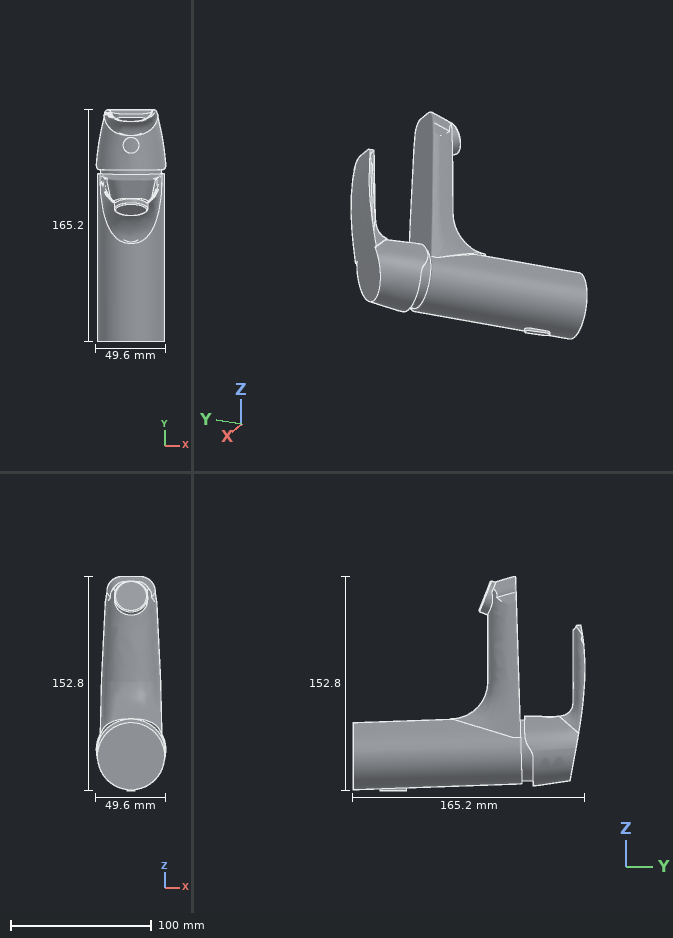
import cadquery as cq
import math

body_radius = 24.0
body_front_z = 24.6
body_rise = 0.035
rear_y = 120.6
rear_lean = 0.031
rear_edge_round = 1.2

pad_length = 19.0
pad_width = 5.6
pad_center_y = 28.6
pad_height = 3.3

spout_blank_z = 153.7
spout_front_y = 95.8
spout_bend_radius = 26.0
spout_bend_z = 77.3
spout_bend_rear_z = 79.3
spout_foot_rear_z = 36.4
spout_foot_half_width = 22.1
spout_bend_half_width = 21.1
spout_shoulder_z = 142.1
spout_shoulder_half_width = 17.8
spout_top_inset = 0.3
spout_crown_half_width = 7.5
spout_front_shoulder_half_width = 12.9
spout_front_shoulder_z = 135.5
spout_crown_base_z = 125.5
spout_crown_base_half_width = 19.8
spout_front_crown_half_width = 5.0
spout_front_top_z = 146.7
spout_tip_y = 101.8
spout_tip_z = 148.7

aerator_y = 93.7
aerator_z = 138.8
aerator_radius = 11.9
aerator_length = 10.7
aerator_chamfer = 0.8
aerator_tilt = math.radians(21.4)

neck_radius = 21.8
neck_z = 28.8
neck_end_y = 132.2
neck_embed = 5.0

overall_length = 165.2
hub_front_y = 122.3
hub_top_z = 53.2
hub_stations = [
    (hub_front_y, 25.1, 3.6),
    (132.2, 24.3, 3.8),
    (142.1, 23.0, 5.3),
    (154.7, 20.5, 7.1),
    (overall_length, 17.8, 9.1),
]
hub_skirt_y = 128.2
hub_step_start_z = 23.1
hub_step_points = [(125.4, 30.5), (hub_front_y, 41.3)]
lever_foot_limit_z = 82.6
lever_tip_front = (157.5, 115.2)
lever_tip_top_y = (159.5, 162.3)
handle_rear_points = [
    (164.5, 102.5),
    (overall_length, 85.1),
    (163.9, 63.5),
    (160.0, 36.2),
    (154.8, 8.3),
]
handle_rear_end_y = 153.0
lever_top_z = 118.0
lever_front_y = 156.6
lever_bend_radius = 9.9
lever_bend_z = 63.1
lever_bend_rear_z = 63.8
lever_foot_rear_z = 36.4
lever_foot_half_width = 19.8
lever_bend_half_width = 18.5
lever_shoulder_z = 108.2
lever_crown_base_half_width = 16.5
lever_crown_base_z = 99.1
lever_shoulder_half_width = 14.5
lever_crown_half_width = 8.3
marker_radius = 5.6
marker_y = 139.8
marker_depth = 0.2

section_fullness = 0.85
section_steps = 12
bend_steps = 4
cutter_half_width = 41.3
cut_margin = 1.7


def rear_face_y(z):
    """Y of the leaning rear face of the body and spout at height z."""
    return rear_y - rear_lean * z


def lever_rear_y(z):
    """The lever sections reach past the crowned rear face, which trims them."""
    return overall_length + cut_margin / 2


def side_slab(outline):
    """Extrude a closed (Y, Z) outline symmetrically about the YZ plane."""
    return outline.close().extrude(cutter_half_width, both=True)


def column_section(rear_point, front_point, half_width):
    """D-shaped wire, flat at the rear, lying between two (Y, Z) points."""
    dy = front_point[0] - rear_point[0]
    dz = front_point[1] - rear_point[1]
    depth = math.hypot(dy, dz)
    plane = cq.Plane(origin=(0, *rear_point), xDir=(1, 0, 0), normal=(0, -dz, dy))
    points = []
    for step in range(section_steps + 1):
        angle = math.pi * step / section_steps
        across = math.copysign(abs(math.cos(angle)) ** section_fullness, math.cos(angle))
        along = abs(math.sin(angle)) ** section_fullness
        points.append((half_width * across, depth * along))
    section = cq.Workplane(plane).moveTo(*points[0])
    section = section.spline(points[1:], tangents=[(0, 1), (0, -1)], includeCurrent=True)
    return section.close().wires().val()


def flared_column(rear_at, front_y, bend_radius, bend_z, rear_zs, half_widths, top_z):
    """Column with a flared foot; rear_zs and half_widths run from foot to bend to top."""
    foot_rear_z, bend_rear_z = rear_zs
    foot_width, bend_width, top_width = half_widths
    sections = []
    for step in range(bend_steps + 1):
        share = step / bend_steps
        angle = -math.pi / 2 * (1 - share)
        front = (
            front_y - bend_radius + bend_radius * math.cos(angle),
            bend_z + bend_radius * math.sin(angle),
        )
        rear_z = foot_rear_z + share * (bend_rear_z - foot_rear_z)
        width = foot_width + share * (bend_width - foot_width)
        sections.append(column_section((rear_at(rear_z), rear_z), front, width))
    top = column_section((rear_at(top_z), top_z), (front_y, top_z), top_width)
    foot = cq.Solid.makeLoft(sections)
    shaft = cq.Solid.makeLoft([sections[-1], top], True)
    return cq.Workplane(foot).union(cq.Workplane(shaft))


def crown_outline(y, base_half, base_z, shoulder_half, shoulder_z, crown_half, top_z):
    """XZ wire at the given Y, with arched shoulders leading to a flat crown."""
    width_45 = crown_half + (shoulder_half - crown_half) * math.sqrt(0.5)
    height_45 = shoulder_z + (top_z - shoulder_z) * math.sqrt(0.5)
    return (
        cq.Workplane("XZ", origin=(0, y, 0))
        .moveTo(-base_half, base_z)
        .lineTo(-shoulder_half, shoulder_z)
        .threePointArc((-width_45, height_45), (-crown_half, top_z))
        .lineTo(crown_half, top_z)
        .threePointArc((width_45, height_45), (shoulder_half, shoulder_z))
        .lineTo(base_half, base_z)
        .close()
        .wires()
        .val()
    )


def shape_crown(column, base_z, outlines):
    """Trim the column above base_z to the prism that joins the outlines."""
    crown = cq.Workplane(cq.Solid.makeLoft(outlines, True))
    above = cq.Workplane("XY", origin=(0, 0, base_z)).rect(
        2 * cutter_half_width, 4 * overall_length
    ).extrude(spout_blank_z)
    return column.cut(above.cut(crown))


def make_body():
    overrun = 5 * cut_margin
    axis = cq.Vector(0, 1, body_rise)
    plane = cq.Plane(
        origin=(0, -overrun, body_front_z - overrun * body_rise),
        xDir=(1, 0, 0),
        normal=axis.toTuple(),
    )
    rod = cq.Workplane(plane).circle(body_radius).extrude(rear_y + 2 * overrun)
    limits = side_slab(
        cq.Workplane("YZ").polyline(
            [
                (0, -overrun),
                (rear_face_y(-overrun), -overrun),
                (rear_face_y(spout_blank_z), spout_blank_z),
                (0, spout_blank_z),
            ]
        )
    )
    body = rod.intersect(limits)
    return body


def make_pad():
    return (
        cq.Workplane("XY", origin=(0, pad_center_y, 0))
        .slot2D(pad_length, pad_width, 90)
        .extrude(pad_height)
    )


def make_spout():
    top_half_width = spout_shoulder_half_width - spout_top_inset
    spout = flared_column(
        rear_face_y,
        spout_front_y,
        spout_bend_radius,
        spout_bend_z,
        (spout_foot_rear_z, spout_bend_rear_z),
        (spout_foot_half_width, spout_bend_half_width, top_half_width),
        spout_blank_z,
    )
    crown_rear_y = rear_face_y(spout_blank_z) + cut_margin
    rear_outline = crown_outline(
        crown_rear_y,
        spout_crown_base_half_width,
        spout_crown_base_z,
        spout_shoulder_half_width,
        spout_shoulder_z,
        spout_crown_half_width,
        spout_blank_z,
    )
    front_outline = crown_outline(
        spout_front_y - cut_margin,
        spout_crown_base_half_width,
        spout_crown_base_z,
        spout_front_shoulder_half_width,
        spout_front_shoulder_z,
        spout_front_crown_half_width,
        spout_front_top_z,
    )
    spout = shape_crown(spout, spout_crown_base_z, [rear_outline, front_outline])
    slope_end_y = spout_tip_y - spout_tip_z * math.tan(aerator_tilt)
    profile = (
        cq.Workplane("YZ")
        .moveTo(slope_end_y, 0)
        .lineTo(spout_tip_y, spout_tip_z)
        .lineTo(spout_tip_y, spout_blank_z)
        .lineTo(rear_y + cut_margin, spout_blank_z)
        .lineTo(rear_y + cut_margin, 0)
    )
    return spout.intersect(side_slab(profile))


def make_aerator():
    outward = cq.Vector(0, -math.cos(aerator_tilt), math.sin(aerator_tilt))
    face_center = cq.Vector(0, aerator_y, aerator_z)
    plane = cq.Plane(
        origin=(face_center - outward * aerator_length).toTuple(),
        xDir=(1, 0, 0),
        normal=outward.toTuple(),
    )
    disc = cq.Workplane(plane).circle(aerator_radius).extrude(aerator_length)
    return disc.faces("<Y").edges().chamfer(aerator_chamfer)


def make_neck():
    start_y = rear_y - neck_embed
    return (
        cq.Workplane("XZ", origin=(0, start_y, neck_z))
        .circle(neck_radius)
        .extrude(start_y - neck_end_y)
    )


def hub_section(y, half_width, bottom_z):
    half_height = (hub_top_z - bottom_z) / 2
    return (
        cq.Workplane("XZ", origin=(0, y, hub_top_z - half_height))
        .ellipse(half_width, half_height)
        .wires()
        .val()
    )


def make_hub():
    """Hub with an almost flat top, narrowing toward the rear."""
    return cq.Workplane(
        cq.Solid.makeLoft(
            [hub_section(*station) for station in hub_stations]
        )
    )


def make_handle():
    lever = flared_column(
        lever_rear_y,
        lever_front_y,
        lever_bend_radius,
        lever_bend_z,
        (lever_foot_rear_z, lever_bend_rear_z),
        (lever_foot_half_width, lever_bend_half_width, lever_shoulder_half_width),
        lever_top_z,
    )
    outlines = [
        crown_outline(
            y,
            lever_crown_base_half_width,
            lever_crown_base_z,
            lever_shoulder_half_width,
            lever_shoulder_z,
            lever_crown_half_width,
            lever_top_z,
        )
        for y in (overall_length + cut_margin, hub_front_y)
    ]
    lever = shape_crown(lever, lever_crown_base_z, outlines)
    profile = (
        cq.Workplane("YZ")
        .moveTo(hub_skirt_y, 0)
        .lineTo(hub_skirt_y, hub_step_start_z)
        .spline(hub_step_points, tangents=[(0, 1), (0, 1)], includeCurrent=True)
        .lineTo(hub_front_y, lever_foot_limit_z)
        .lineTo(*lever_tip_front)
        .lineTo(lever_tip_top_y[0], lever_top_z)
        .lineTo(lever_tip_top_y[1], lever_top_z)
        .spline(handle_rear_points, includeCurrent=True)
        .lineTo(handle_rear_end_y, 0)
    )
    handle = make_hub().union(lever).intersect(side_slab(profile))
    marker = (
        cq.Workplane("XY", origin=(0, marker_y, hub_top_z - 2 * cut_margin))
        .circle(marker_radius)
        .extrude(4 * cut_margin)
        .cut(handle.translate((0, 0, -marker_depth)))
    )
    return handle.cut(marker)


body_and_spout = make_body().union(make_spout()).faces(">Y").edges().fillet(rear_edge_round)
result = (
    body_and_spout
    .union(make_pad())
    .union(make_aerator())
    .union(make_neck())
    .union(make_handle())
)